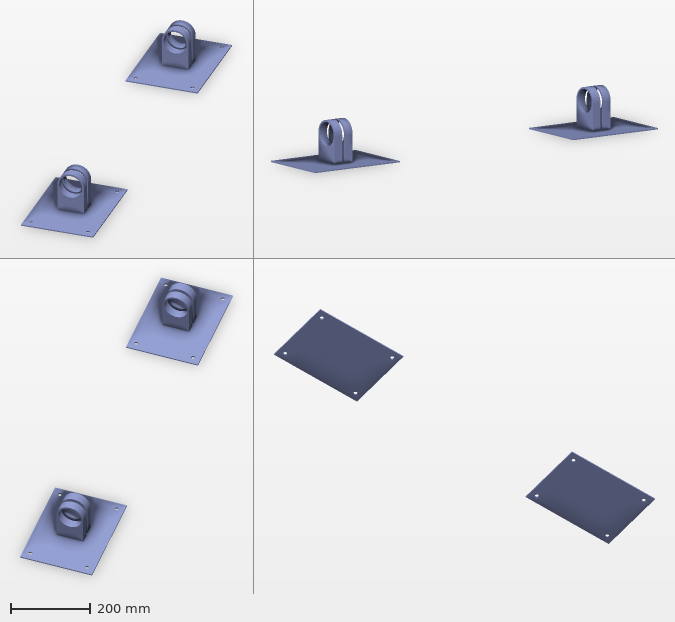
import cadquery as cq

overall_length = 1063.0
plate_width = 192.0
plate_length = 264.0
plate_thickness = 3.0
bolt_hole_diameter = 10.0
bolt_hole_margin = 20.0

overall_height = 111.0
lug_width = 71.0
top_flat_width = 0.2
lug_thickness = 23.0
lug_pitch = 32.0
bore_diameter = 62.0

bracket_spacing = overall_length - plate_length
corner_radius = (lug_width - top_flat_width) / 2
shoulder_height = overall_height - corner_radius
bore_height = overall_height - lug_width / 2


def make_plate():
    """Rectangular plate resting on Z = 0, with a bolt hole near each corner."""
    return (
        cq.Workplane("XY")
        .box(plate_width, plate_length, plate_thickness, centered=(True, True, False))
        .faces(">Z")
        .workplane()
        .rect(plate_width - 2 * bolt_hole_margin, plate_length - 2 * bolt_hole_margin, forConstruction=True)
        .vertices()
        .hole(bolt_hole_diameter)
    )


def make_lug(center_y):
    """Upright lug bored along Y, its two top corners rounded until only a sliver of flat remains."""
    half_width = lug_width / 2
    half_flat = top_flat_width / 2
    lug_plane = cq.Workplane("XZ", origin=(0, center_y + lug_thickness / 2, 0))
    return (
        lug_plane
        .moveTo(-half_width, plate_thickness)
        .lineTo(half_width, plate_thickness)
        .lineTo(half_width, shoulder_height)
        .radiusArc((half_flat, overall_height), -corner_radius)
        .lineTo(-half_flat, overall_height)
        .radiusArc((-half_width, shoulder_height), -corner_radius)
        .close()
        .moveTo(0, bore_height)
        .circle(bore_diameter / 2)
        .extrude(lug_thickness)
    )


def make_bracket(center_y):
    """One-piece bracket: a plate carrying two parallel lugs."""
    bracket = make_plate()
    for side in (-1, 1):
        bracket = bracket.union(make_lug(side * lug_pitch / 2))
    return bracket.translate((0, center_y, 0))


brackets = []
for end in (-1, 1):
    brackets.append(make_bracket(end * bracket_spacing / 2).val())

result = cq.Compound.makeCompound(brackets)